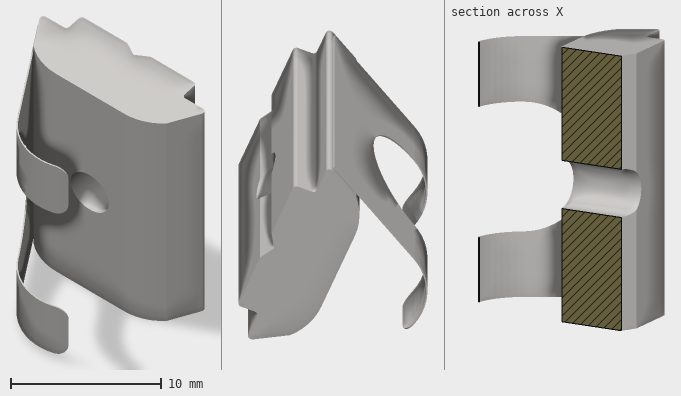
import cadquery as cq
import math


nut_length = 19.0
nut_depth = 5.2
nut_half_width = 6.994
neck_half_width = 4.95
neck_depth = 1.53
flank_angle = math.radians(60)
flank_end_depth = 4.12
front_flat_half_width = 2.92
hole_diameter = 3.3

groove_half_width = 1.0
groove_wall_angle = math.radians(30)
groove_depth = groove_half_width * math.tan(groove_wall_angle)

lip_back_radius = 0.25
lip_front_radius = 0.4
neck_edge_radius = 0.25
neck_root_radius = 0.25

spring_length = 18.0
spring_thickness = 0.1
inner_bend_radius = 4.0
spring_depth = 11.69
tip_angle = math.radians(30)
slot_width = 9.0
tip_corner_radius = 1.0

lip_side_depth = neck_depth + lip_back_radius
flank_start_x = nut_half_width - lip_front_radius * (1 - math.sin(flank_angle))
flank_start_depth = lip_side_depth + lip_front_radius * math.cos(flank_angle)
flank_end_x = flank_start_x - (flank_end_depth - flank_start_depth) / math.tan(flank_angle)

spring_start_x = -flank_start_x
spring_start_y = -flank_start_depth

outer_bend_radius = inner_bend_radius + spring_thickness
bend_center_y = -spring_depth + outer_bend_radius
bend_start_y = bend_center_y - inner_bend_radius * math.cos(flank_angle)
bend_start_x = spring_start_x + (spring_start_y - bend_start_y) / math.tan(flank_angle)
bend_center_x = bend_start_x + inner_bend_radius * math.sin(flank_angle)


def centered_prism(section, length):
    """Extrude an XY section symmetrically about Z = 0."""
    return section.extrude(length).translate((0, 0, -length / 2))


def round_long_edge(solid, x, y, radius):
    """Round the edge along Z that passes through (x, y)."""
    edge = solid.edges("|Z").edges(cq.NearestToPointSelector((x, y, 0)))
    return edge.fillet(radius)


def make_half_nut():
    """Right half of the nut, cut at the X = 0 symmetry plane."""
    section = (
        cq.Workplane("XY")
        .moveTo(0, -nut_depth)
        .lineTo(front_flat_half_width, -nut_depth)
        .tangentArcPoint((flank_end_x, -flank_end_depth), relative=False)
        .lineTo(flank_start_x, -flank_start_depth)
        .tangentArcPoint((nut_half_width, -lip_side_depth), relative=False)
        .tangentArcPoint((nut_half_width - lip_back_radius, -neck_depth), relative=False)
        .lineTo(neck_half_width, -neck_depth)
        .lineTo(neck_half_width, 0)
        .lineTo(groove_half_width, 0)
        .lineTo(0, -groove_depth)
        .close()
    )
    half = centered_prism(section, nut_length)
    half = round_long_edge(half, neck_half_width, -neck_depth, neck_root_radius)
    return round_long_edge(half, neck_half_width, 0, neck_edge_radius)


def make_nut():
    """Full nut with its through hole."""
    half = make_half_nut()
    nut = half.union(half.mirror("YZ")).clean()
    hole = cq.Workplane("XZ").circle(hole_diameter / 2).extrude(nut_depth)
    return nut.cut(hole)


def bend_point(radius, angle):
    """Point on the bend, with the angle measured from -Y toward +X."""
    x = bend_center_x + radius * math.sin(angle)
    y = bend_center_y - radius * math.cos(angle)
    return (x, y)


def make_spring_leaf():
    """Flat part of the spring with the round end of the slot."""
    normal_x = -math.sin(flank_angle)
    normal_y = -math.cos(flank_angle)
    outer_start_x = spring_start_x + spring_thickness * normal_x
    outer_start_y = spring_start_y + spring_thickness * normal_y
    section = (
        cq.Workplane("XY")
        .moveTo(spring_start_x, spring_start_y)
        .lineTo(*bend_point(inner_bend_radius, -flank_angle))
        .lineTo(*bend_point(outer_bend_radius, -flank_angle))
        .lineTo(outer_start_x, outer_start_y)
        .close()
    )
    leaf_plane = cq.Plane(
        origin=(bend_start_x, bend_start_y, 0),
        xDir=(0, 0, 1),
        normal=(normal_x, normal_y, 0),
    )
    slot_end = cq.Workplane(leaf_plane).circle(slot_width / 2).extrude(spring_thickness * 2, both=True)
    return centered_prism(section, spring_length).cut(slot_end)


def make_tip_outline(tab_width):
    """Block with two rounded end corners, square to the tip, that a tab is trimmed to."""
    tip_x, tip_y = bend_point(inner_bend_radius, tip_angle)
    block_length = 2 * outer_bend_radius
    block = cq.Workplane("XY").box(block_length, 2 * block_length, tab_width)
    block = block.translate((-block_length / 2, 0, 0))
    block = block.edges("|Y and >X").fillet(tip_corner_radius)
    block = block.rotate((0, 0, 0), (0, 0, 1), math.degrees(tip_angle))
    return block.translate((tip_x, tip_y, 0))


def make_spring_tab(side):
    """Curved tab beside the slot, above it for side = 1 and below it for side = -1."""
    middle_angle = (tip_angle - flank_angle) / 2
    section = (
        cq.Workplane("XY")
        .moveTo(*bend_point(inner_bend_radius, -flank_angle))
        .threePointArc(bend_point(inner_bend_radius, middle_angle), bend_point(inner_bend_radius, tip_angle))
        .lineTo(*bend_point(outer_bend_radius, tip_angle))
        .threePointArc(bend_point(outer_bend_radius, middle_angle), bend_point(outer_bend_radius, -flank_angle))
        .close()
    )
    tab_width = (spring_length - slot_width) / 2
    tab_center_z = side * (slot_width + tab_width) / 2
    tab = centered_prism(section, tab_width).translate((0, 0, tab_center_z))
    return tab.intersect(make_tip_outline(tab_width).translate((0, 0, tab_center_z)))


def make_spring():
    """Leaf spring with two curved tabs."""
    spring = make_spring_leaf()
    for side in (-1, 1):
        spring = spring.union(make_spring_tab(side))
    return spring


result = make_nut().union(make_spring())